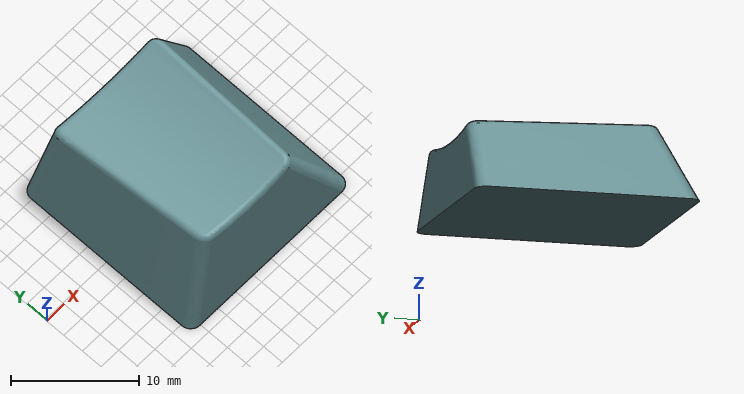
import cadquery as cq
import math

base_width = 18.1
base_depth = 18.2
base_corner_radius = 0.98

loft_height = 7.5
upper_front_half_width = 4.5
upper_back_half_width = 5.02
front_inset = 2.68
back_inset = 0.16
upper_corner_radius = 0.95

dish_radius = 27.3
dish_front_height = 6.26
dish_fall_angle = 3.2
dish_length = 54.6

rim_fillet = 0.55


def rounded_outline(front_half, back_half, front_y, back_y, radius, height):
    """Closed symmetric trapezoid with rounded corners at the given height."""
    corners = [
        cq.Vector(-front_half, front_y, height),
        cq.Vector(front_half, front_y, height),
        cq.Vector(back_half, back_y, height),
        cq.Vector(-back_half, back_y, height),
    ]
    outline = cq.Wire.makePolygon(corners, close=True)
    return outline.fillet2D(radius, outline.Vertices())


def tapered_body():
    half_width = base_width / 2
    half_depth = base_depth / 2
    base = rounded_outline(
        half_width, half_width, -half_depth, half_depth, base_corner_radius, 0
    )
    upper = rounded_outline(
        upper_front_half_width,
        upper_back_half_width,
        front_inset - half_depth,
        half_depth - back_inset,
        upper_corner_radius,
        loft_height,
    )
    return cq.Workplane(cq.Solid.makeLoft([base, upper], True))


def dish_cutter():
    """Cylinder whose lowest line passes through the front middle of the top."""
    angle = math.radians(dish_fall_angle)
    along = cq.Vector(0, math.cos(angle), -math.sin(angle))
    upward = cq.Vector(0, math.sin(angle), math.cos(angle))
    front_middle = cq.Vector(0, front_inset - base_depth / 2, dish_front_height)
    start = front_middle + upward * dish_radius - along * (dish_length / 2)
    return cq.Solid.makeCylinder(dish_radius, dish_length, start, along)


dished_body = tapered_body().cut(cq.Workplane(dish_cutter()))
dished_top = dished_body.faces("%CYLINDER").faces(">Z")
result = dished_top.edges().fillet(rim_fillet)